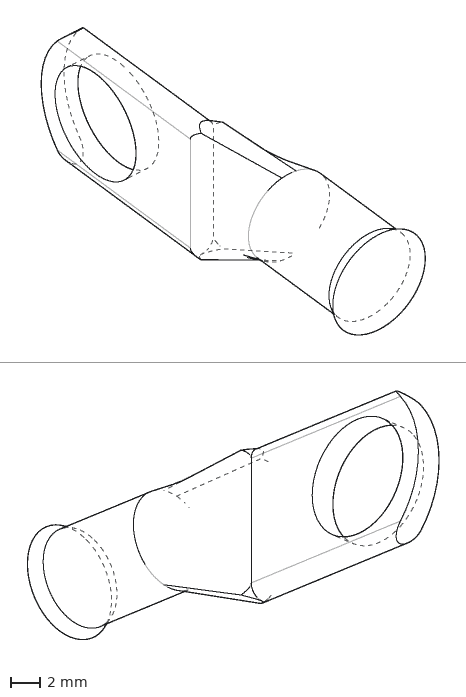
import cadquery as cq
import math

length = 31.8
transition_start = 15.95
barrel_start = 22.15
flare_start = 30.77

barrel_radius = 3.608
flare_radius = 4.117

tongue_width = 11.45
tongue_thickness = 2.05
nose_radius = 7.3
hole_diameter = 8.65
hole_x = 5.82
tongue_back = -barrel_radius
tongue_front = tongue_back + tongue_thickness
edge_radius = tongue_thickness / 2
half_width = tongue_width / 2

side_face_angle = 80.0

rounding_length = 1.1


def tongue_section():
    """Flat section with half-round ends, drawn in four edges."""
    flat_z = half_width - edge_radius
    middle = tongue_back + edge_radius
    return (
        cq.Workplane("YZ", origin=(transition_start, 0, 0))
        .moveTo(tongue_front, -flat_z)
        .lineTo(tongue_front, flat_z)
        .threePointArc((middle, half_width), (tongue_back, flat_z))
        .lineTo(tongue_back, -flat_z)
        .threePointArc((middle, -half_width), (tongue_front, -flat_z))
        .close()
    )


def make_tongue():
    """Flat bar with rounded long edges, an arched nose and a stud hole."""
    nose_setback = nose_radius - math.sqrt(nose_radius**2 - half_width**2)
    bar = tongue_section().extrude(-transition_start)
    outline = (
        cq.Workplane("XZ", origin=(0, tongue_front, 0))
        .moveTo(transition_start, half_width)
        .lineTo(nose_setback, half_width)
        .threePointArc((0, 0), (nose_setback, -half_width))
        .lineTo(transition_start, -half_width)
        .close()
        .extrude(tongue_thickness)
    )
    hole = (
        cq.Workplane("XZ", origin=(hole_x, tongue_front, 0))
        .circle(hole_diameter / 2)
        .extrude(tongue_thickness)
    )
    return bar.intersect(outline).cut(hole)


def barrel_point(angle):
    turn = math.radians(angle)
    return (barrel_radius * math.cos(turn), barrel_radius * math.sin(turn))


def barrel_section():
    """Barrel circle in four arcs that pair with the four sides of the tongue."""
    half_turn = 180.0
    stops = [
        side_face_angle,
        half_turn - side_face_angle,
        half_turn + side_face_angle,
        2 * half_turn - side_face_angle,
    ]
    previous = -side_face_angle
    circle = cq.Workplane("YZ", origin=(barrel_start, 0, 0)).moveTo(*barrel_point(previous))
    for stop in stops:
        circle = circle.threePointArc(barrel_point((previous + stop) / 2), barrel_point(stop))
        previous = stop
    return circle.close()


def corner_waste(face_y, side, rise):
    """Material outside one rounded corner, swept along X while climbing by rise in Y."""
    middle = tongue_back + edge_radius
    edge_z = side * half_width
    flat_z = side * (half_width - edge_radius)
    arc_reach = edge_radius * math.sqrt(0.5)
    arc_y = middle + math.copysign(arc_reach, face_y - middle)
    profile = (
        cq.Workplane("YZ", origin=(transition_start, 0, 0))
        .moveTo(face_y, flat_z)
        .threePointArc((arc_y, flat_z + side * arc_reach), (middle, edge_z))
        .lineTo(face_y, edge_z)
        .close()
        .val()
    )
    far_profile = profile.translate(cq.Vector(rounding_length, rise, 0))
    return cq.Workplane(obj=cq.Solid.makeLoft([profile, far_profile], True))


def make_transition():
    """Straight-ruled blend with narrow side faces, its corners rounded where it meets the tongue."""
    rectangle = (
        cq.Workplane("YZ", origin=(transition_start, 0, 0))
        .moveTo(tongue_front, -half_width)
        .lineTo(tongue_front, half_width)
        .lineTo(tongue_back, half_width)
        .lineTo(tongue_back, -half_width)
        .close()
    )
    blend = cq.Solid.makeLoft([rectangle.val(), barrel_section().val()], True)
    blend = cq.Workplane(obj=blend)
    front_slope = (barrel_radius - tongue_front) / (barrel_start - transition_start)
    for face_y, rise in ((tongue_back, 0), (tongue_front, rounding_length * front_slope)):
        for side in (-1, 1):
            blend = blend.cut(corner_waste(face_y, side, rise))
    return blend


def make_barrel():
    """Round barrel ending in a conical flare."""
    return (
        cq.Workplane("XY")
        .moveTo(barrel_start, 0)
        .lineTo(barrel_start, barrel_radius)
        .lineTo(flare_start, barrel_radius)
        .lineTo(length, flare_radius)
        .lineTo(length, 0)
        .close()
        .revolve(360, (0, 0, 0), (1, 0, 0))
    )


result = make_tongue().union(make_transition()).union(make_barrel())